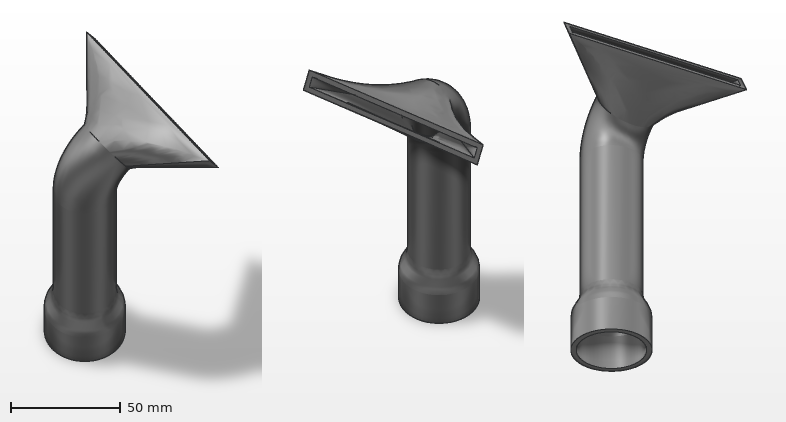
import cadquery as cq
import math

wall = 2.48
pipe_radius = 29.0 / 2
socket_radius = 37.2 / 2
socket_height = 17.0
reducer_height = 12.0
total_height = 142.0
bend_radius = 25.1
bend_angle = 60.0
nozzle_length = 30.0
mouth_width = 95.0
mouth_height = 10.0

angle = math.radians(bend_angle)
pipe_bottom = socket_height + reducer_height
bend_rise = bend_radius * math.sin(angle)
nozzle_rise = nozzle_length * math.cos(angle) + mouth_height / 2 * math.sin(angle)
bend_start = total_height - bend_rise - nozzle_rise

bend_end = cq.Plane(
    origin=(0, bend_radius * (1 - math.cos(angle)), bend_start + bend_rise),
    xDir=(1, 0, 0),
    normal=(0, math.sin(angle), math.cos(angle)),
)


def upright(inset):
    """Socket, S-curved reducer and straight pipe, shrunk radially by inset."""
    pipe = pipe_radius - inset
    socket = socket_radius - inset
    return (
        cq.Workplane("XZ")
        .lineTo(socket, 0)
        .lineTo(socket, socket_height)
        .spline([(pipe, pipe_bottom)], tangents=[(0, 1), (0, 1)], includeCurrent=True)
        .lineTo(pipe, bend_start)
        .lineTo(0, bend_start)
        .close()
        .revolve(360, (0, 0, 0), (0, 1, 0))
    )


def bend(inset):
    """Pipe elbow turning from +Z towards +Y."""
    return (
        cq.Workplane("XY", origin=(0, 0, bend_start))
        .circle(pipe_radius - inset)
        .revolve(bend_angle, (1.4, bend_radius, 0), (-1.4, bend_radius, 0))
    )


def nozzle(inset):
    """Transition from the round pipe to the flat rectangular mouth."""
    return (
        cq.Workplane(bend_end)
        .circle(pipe_radius - inset)
        .workplane(offset=nozzle_length)
        .rect(mouth_width - 2 * inset, mouth_height - 2 * inset)
        .loft(ruled=True, combine=True)
    )


def body(inset):
    return upright(inset).union(bend(inset)).union(nozzle(inset))


result = body(0).cut(body(wall))